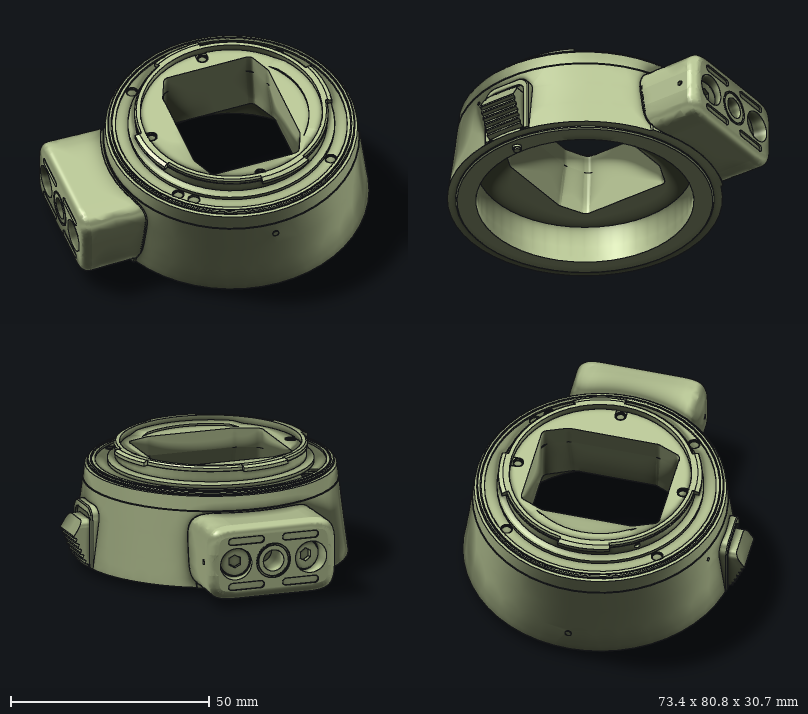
import cadquery as cq
import math

OVERLAP = 1.0

BASE_RADIUS = 32.6
BASE_HEIGHT = 0.7
BASE_CHAMFER = 0.35
CONE_BOTTOM_RADIUS = 34.75
CONE_TOP_RADIUS = 31.85
CONE_TOP_Z = 23.85
CONE_SLOPE = (CONE_BOTTOM_RADIUS - CONE_TOP_RADIUS) / (CONE_TOP_Z - BASE_HEIGHT)
SEAM_Z = 20.05
SEAM_WIDTH = 0.2
SEAM_DEPTH = 0.12

UNDERCUT_RADIUS = 30.9
UNDERCUT_HEIGHT = 0.3
RIM_RADIUS = 31.2
RIM_CHAMFER = 0.25
RIM_Z = 24.8
RIM_INNER_RADIUS = 29.25
RIM_GROOVE_INNER_RADIUS = 30.1
RIM_GROOVE_OUTER_RADIUS = 30.4
RIM_GROOVE_DEPTH = 0.3
FACE_Z = 24.25
COLLAR_RADIUS = 26.1
COLLAR_EDGE_RADIUS = 25.5
COLLAR_EDGE_Z = 25.1
NECK_RADIUS = 24.2
COLLAR_TOP_Z = 25.5

FLANGE_Z = 28.2
TOP_Z = 29.55
TOP_CHAMFER_HEIGHT = 0.45
LIP_RADIUS = 24.45
LIP_TOP_RADIUS = 24.0
LOBE_RADIUS = 25.7
LOBE_TOP_RADIUS = 24.6
LOBE_ANGLES = ((-91, -61), (-2, 29), (79, 109), (179, 209))

MOUTH_RADIUS = 23.0
FLOOR_Z = 27.8
REAR_BORE_RADIUS = 27.5
REAR_BORE_DEPTH = 10.6
WINDOW_HALF_X = 17.9
WINDOW_HALF_Y = 14.2
WINDOW_CORNER_X = 11.65
WINDOW_CORNER_Y = 11.6
WINDOW_CORNER_RADIUS = 1.7
WINDOW_SLANT_RADIUS = 2.5
WINDOW_FLARE_Z = 22.7
WINDOW_FLARE = 1.3
WINDOW_FLARE_CORNER_SHIFT = 0.9

STEP_HEIGHT = 0.5
STEP_INNER_RADIUS = 19.6
STEP_EMBEDDING = 0.2
STEP_TOP_ANGLE = 34
STEP_BASE_ANGLE = 41

FACE_SCREW_CIRCLE = 27.65
FACE_SCREW_ANGLES = (45, 135, 225, 311)
LOCK_HOLE_ANGLE = 320
FACE_SCREW_RADIUS = 1.3
LOCK_HOLE_RADIUS = 1.5
SCREW_CHAMFER = 0.2
SCREW_DEPTH = 0.6
FLOOR_SCREW_CIRCLE = 21.4
FLOOR_SCREW_ANGLES = (180, 270, 360)
FLOOR_SCREW_RADIUS = 1.1
FLOOR_NOTCH_RADIUS = 1.4
FLOOR_NOTCH_DEPTH = 0.2
NECK_HOLE_ANGLE = 126.4
NECK_HOLE_Z = 26.85
NECK_HOLE_RADIUS = 0.75
NECK_HOLE_DEPTH = 0.8

MARK_RADIUS = 0.8
MARK_HEIGHT = 0.15
MARKS = ((0, 16.9), (90, 5.8))
DOT_Y = 11.1
DOT_Z = 16.9
DOT_RADIUS = 0.4
DOT_DEPTH = 0.5

PLATE_X = -34.45
PLATE_INNER_X = -30.5
PLATE_HALF_WIDTH = 6.7
PLATE_BOTTOM_Z = 0.8
PLATE_TOP_Z = 16.65
PLATE_CORNER = 3.3
PLATE_CHAMFER = 0.3
TRACK_HALF_WIDTH = 5.25
TRACK_BOTTOM_Z = 1.5
TRACK_TOP_Z = 14.9
TRACK_CORNER = 2.0
TRACK_DEPTH = 0.6
BUTTON_HALF_WIDTH = 5.1
BUTTON_TOP_Z = 13.15
BUTTON_TOP_X = -36.25
BUTTON_CORNER = 1.85
NOSE_X = -38.62
NOSE_Z = 9.35
TOOTH_COUNT = 5
TOOTH_STEP_X = 0.6
TOOTH_STEP_Z = 1.46
TOOTH_TIP_HEIGHT = 0.4
TOOTH_NOTCH_X = 0.85
TOOTH_NOTCH_Z = 0.35
PIN_X = -29.7
PIN_RADIUS = 1.15
PIN_LENGTH = 1.19
PIN_TIP_RADIUS = 0.9
PIN_TIP_LENGTH = 0.5

FOOT_FRONT_Y = -46.03
FOOT_BACK_Y = -20.0
FOOT_HALF_WIDTH = 17.15
FOOT_BOTTOM_Z = 0.7
FOOT_TOP_Z = SEAM_Z - SEAM_WIDTH / 2
FOOT_CORNER = 6.85
FOOT_CORNER_FULLNESS = 0.79
FOOT_EDGE = 2.45
FOOT_NARROWING = 0.3
FOOT_MID_Z = 10.3
SEAT_HEIGHT = 0.6
SEAT_INSET = 0.3
SEAT_SKIRT_HALF_WIDTH = 15.3
SEAT_SKIRT_TOP_Z = 6.0
GRIP_LENGTH = 9.6
GRIP_WIDTH = 1.85
GRIP_DEPTH = 0.5
GRIP_X = 7.25
GRIP_SPACING_Z = 11.8
THREAD_RADIUS = 2.75
THREAD_DEPTH = 9.0
THREAD_RECESS_RADIUS = 4.5
THREAD_RECESS_INNER_RADIUS = 4.0
THREAD_RECESS_DEPTH = 0.5
BOLT_X = 10.05
BOLT_RADIUS = 4.1
BOLT_HEAD_RADIUS = 3.75
BOLT_DEPTH = 2.6
BOLT_GAP_DEPTH = 0.5
HEX_CORNERS = 3.4
HEX_DEPTH = 1.2
SIDE_HOLE_Y = -41.3
SIDE_HOLE_RADIUS = 0.6
SIDE_HOLE_DEPTH = 1.0


def cone_radius(z):
    return CONE_BOTTOM_RADIUS - CONE_SLOPE * (z - BASE_HEIGHT)


def cylinder(radius, bottom, top):
    return cq.Workplane("XY").workplane(offset=bottom).circle(radius).extrude(top - bottom)


def tube(inner, outer, bottom, top):
    return cylinder(outer, bottom, top).cut(cylinder(inner, bottom, top))


def polar(radius, angle):
    turn = math.radians(angle)
    return radius * math.cos(turn), radius * math.sin(turn)


def sector(inner, outer, start, end, z):
    """Closed ring-sector outline at height z, between two angles in degrees."""
    middle = (start + end) / 2
    return (
        cq.Workplane("XY").workplane(offset=z)
        .moveTo(*polar(inner, start))
        .lineTo(*polar(outer, start))
        .threePointArc(polar(outer, middle), polar(outer, end))
        .lineTo(*polar(inner, end))
        .threePointArc(polar(inner, middle), polar(inner, start))
        .close()
    )


def radial_cylinder(angle, z, radius, inner, outer):
    """Cylinder lying along a radius of the ring, between two distances from the axis."""
    along = cq.Vector(*polar(1, angle), 0)
    start = along * inner + cq.Vector(0, 0, z)
    return cq.Workplane(cq.Solid.makeCylinder(radius, outer - inner, start, along))


def turned_ring():
    profile = [
        (0, 0),
        (BASE_RADIUS - BASE_CHAMFER, 0),
        (BASE_RADIUS, BASE_CHAMFER),
        (BASE_RADIUS, BASE_HEIGHT),
        (CONE_BOTTOM_RADIUS, BASE_HEIGHT),
        (CONE_TOP_RADIUS, CONE_TOP_Z),
        (UNDERCUT_RADIUS, CONE_TOP_Z),
        (UNDERCUT_RADIUS, CONE_TOP_Z + UNDERCUT_HEIGHT),
        (RIM_RADIUS, CONE_TOP_Z + UNDERCUT_HEIGHT),
        (RIM_RADIUS, RIM_Z - RIM_CHAMFER),
        (RIM_RADIUS - RIM_CHAMFER, RIM_Z),
        (RIM_INNER_RADIUS, RIM_Z),
        (RIM_INNER_RADIUS, FACE_Z),
        (COLLAR_RADIUS, FACE_Z),
        (COLLAR_RADIUS, COLLAR_EDGE_Z),
        (COLLAR_EDGE_RADIUS, COLLAR_EDGE_Z),
        (NECK_RADIUS, COLLAR_TOP_Z),
        (NECK_RADIUS, FLANGE_Z),
        (LIP_RADIUS, FLANGE_Z),
        (LIP_RADIUS, TOP_Z - TOP_CHAMFER_HEIGHT),
        (LIP_TOP_RADIUS, TOP_Z),
        (0, TOP_Z),
    ]
    ring = cq.Workplane("XZ").polyline(profile).close().revolve(360, (0, 0), (0, 1))
    seam_radius = cone_radius(SEAM_Z)
    seam = tube(
        seam_radius - SEAM_DEPTH,
        seam_radius + OVERLAP,
        SEAM_Z - SEAM_WIDTH / 2,
        SEAM_Z + SEAM_WIDTH / 2,
    )
    ring = ring.cut(seam)
    rim_groove = tube(
        RIM_GROOVE_INNER_RADIUS, RIM_GROOVE_OUTER_RADIUS, RIM_Z - RIM_GROOVE_DEPTH, RIM_Z
    )
    return ring.cut(rim_groove)


def bayonet_lobes():
    profile = [
        (MOUTH_RADIUS, FLANGE_Z),
        (LOBE_RADIUS, FLANGE_Z),
        (LOBE_RADIUS, TOP_Z - TOP_CHAMFER_HEIGHT),
        (LOBE_TOP_RADIUS, TOP_Z),
        (MOUTH_RADIUS, TOP_Z),
    ]
    full_flange = cq.Workplane("XZ").polyline(profile).close().revolve(360, (0, 0), (0, 1))
    spans = cq.Workplane("XY")
    for start, end in LOBE_ANGLES:
        span = sector(MOUTH_RADIUS, LOBE_RADIUS + OVERLAP, start, end, FLANGE_Z)
        spans = spans.union(span.extrude(TOP_Z - FLANGE_Z))
    return full_flange.intersect(spans)


def window_outline(z, flare, corner_shift):
    """Rectangle with slanted corners; flare widens it in Y, corner_shift shortens its X sides."""
    corner_x = WINDOW_CORNER_X - corner_shift
    half_y = WINDOW_HALF_Y + flare
    corner_y = WINDOW_CORNER_Y + flare / 2
    points = [
        (WINDOW_HALF_X, -corner_y),
        (WINDOW_HALF_X, corner_y),
        (corner_x, half_y),
        (-corner_x, half_y),
        (-WINDOW_HALF_X, corner_y),
        (-WINDOW_HALF_X, -corner_y),
        (-corner_x, -half_y),
        (corner_x, -half_y),
    ]
    return cq.Workplane("XY").workplane(offset=z).polyline(points).close().wires().val()


def round_window_edges(prism):
    """Round the uprights at the X sides, then those where the slants meet the Y sides."""
    reach = 2 * WINDOW_FLARE_CORNER_SHIFT
    for center_x, radius in (
        (WINDOW_HALF_X, WINDOW_CORNER_RADIUS),
        (WINDOW_CORNER_X, WINDOW_SLANT_RADIUS),
    ):
        for side in (-1, 1):
            upright_edges = cq.selectors.BoxSelector(
                (side * center_x - reach, -REAR_BORE_RADIUS, 0),
                (side * center_x + reach, REAR_BORE_RADIUS, TOP_Z),
            )
            prism = prism.edges(upright_edges).edges("not #Z").fillet(radius)
    return prism


def openings():
    mouth = cylinder(MOUTH_RADIUS, FLOOR_Z, TOP_Z)
    rear = cylinder(REAR_BORE_RADIUS, 0, REAR_BORE_DEPTH)
    flare_start = window_outline(WINDOW_FLARE_Z, 0, 0)
    straight = cq.Workplane("XY").add(flare_start).toPending().extrude(FLOOR_Z - WINDOW_FLARE_Z)
    flare_end = window_outline(REAR_BORE_DEPTH, WINDOW_FLARE, WINDOW_FLARE_CORNER_SHIFT)
    flared = cq.Workplane(cq.Solid.makeLoft([flare_end, flare_start], True))
    window = round_window_edges(straight).union(round_window_edges(flared))
    return mouth.union(rear).union(window)


def floor_step():
    outer = MOUTH_RADIUS + STEP_EMBEDDING
    base = sector(STEP_INNER_RADIUS, outer, 90 - STEP_BASE_ANGLE, 90 + STEP_BASE_ANGLE, FLOOR_Z)
    top_z = FLOOR_Z + STEP_HEIGHT
    top = sector(STEP_INNER_RADIUS, outer, 90 - STEP_TOP_ANGLE, 90 + STEP_TOP_ANGLE, top_z)
    return cq.Workplane(cq.Solid.makeLoft([base.wires().val(), top.wires().val()], True))


def chamfered_hole(radius, top_z):
    hole = cylinder(radius, top_z - SCREW_DEPTH, top_z)
    mouth = cq.Solid.makeCone(
        radius, radius + SCREW_CHAMFER, SCREW_CHAMFER, cq.Vector(0, 0, top_z - SCREW_CHAMFER)
    )
    return hole.union(cq.Workplane(mouth))


def floor_notch(angle):
    """Shallow round-ended slot from a floor screw outward to the wall of the mouth."""
    reach = MOUTH_RADIUS - FLOOR_SCREW_CIRCLE
    bottom = FLOOR_Z - FLOOR_NOTCH_DEPTH
    round_end = cylinder(FLOOR_NOTCH_RADIUS, bottom, FLOOR_Z).translate((FLOOR_SCREW_CIRCLE, 0, 0))
    straight = cq.Workplane("XY").box(
        reach, 2 * FLOOR_NOTCH_RADIUS, FLOOR_NOTCH_DEPTH, centered=(False, True, False)
    ).translate((FLOOR_SCREW_CIRCLE, 0, bottom))
    notch = round_end.union(straight).rotate((0, 0, 0), (0, 0, 1), angle)
    return notch.intersect(cylinder(MOUTH_RADIUS, bottom, FLOOR_Z))


def small_holes():
    holes = radial_cylinder(
        NECK_HOLE_ANGLE, NECK_HOLE_Z, NECK_HOLE_RADIUS, NECK_RADIUS - NECK_HOLE_DEPTH, NECK_RADIUS + OVERLAP
    )
    for angle in FACE_SCREW_ANGLES:
        x, y = polar(FACE_SCREW_CIRCLE, angle)
        holes = holes.union(chamfered_hole(FACE_SCREW_RADIUS, FACE_Z).translate((x, y, 0)))
    x, y = polar(FACE_SCREW_CIRCLE, LOCK_HOLE_ANGLE)
    holes = holes.union(cylinder(LOCK_HOLE_RADIUS, FACE_Z - SCREW_DEPTH, FACE_Z).translate((x, y, 0)))
    for angle in FLOOR_SCREW_ANGLES:
        x, y = polar(FLOOR_SCREW_CIRCLE, angle)
        notch_z = FLOOR_Z - FLOOR_NOTCH_DEPTH
        holes = holes.union(chamfered_hole(FLOOR_SCREW_RADIUS, notch_z).translate((x, y, 0)))
        holes = holes.union(floor_notch(angle))
    dot_radius = cone_radius(DOT_Z)
    dot_angle = 180 - math.degrees(math.asin(DOT_Y / dot_radius))
    dot = radial_cylinder(dot_angle, DOT_Z, DOT_RADIUS, dot_radius - DOT_DEPTH, dot_radius + OVERLAP)
    return holes.union(dot)


def index_marks():
    marks = cq.Workplane("XY")
    for angle, z in MARKS:
        surface = cone_radius(z)
        mark = radial_cylinder(angle, z, MARK_RADIUS, surface - OVERLAP, surface + MARK_HEIGHT)
        marks = marks.union(mark)
    return marks


def x_block(half_width, bottom, top, outer_x, inner_x, corner):
    """Block across Y, from outer_x to inner_x, with its two upper corners rounded."""
    block = cq.Workplane("XY").box(
        inner_x - outer_x, 2 * half_width, top - bottom, centered=(False, True, False)
    )
    return block.edges("|X and >Z").fillet(corner).translate((outer_x, 0, bottom))


def slider_button():
    outline = cq.Workplane("XZ", origin=(0, BUTTON_HALF_WIDTH, 0)).moveTo(PLATE_INNER_X, BUTTON_TOP_Z)
    outline = outline.lineTo(BUTTON_TOP_X, BUTTON_TOP_Z).lineTo(NOSE_X, NOSE_Z)
    for tooth in range(TOOTH_COUNT):
        tip_x = NOSE_X + tooth * TOOTH_STEP_X
        tip_z = NOSE_Z - tooth * TOOTH_STEP_Z
        outline = outline.lineTo(tip_x, tip_z - TOOTH_TIP_HEIGHT)
        outline = outline.lineTo(tip_x + TOOTH_NOTCH_X, tip_z - TOOTH_TIP_HEIGHT - TOOTH_NOTCH_Z)
        outline = outline.lineTo(tip_x + TOOTH_STEP_X, tip_z - TOOTH_STEP_Z)
    outline = outline.lineTo(PLATE_X, TRACK_BOTTOM_Z).lineTo(PLATE_INNER_X, TRACK_BOTTOM_Z).close()
    button = outline.extrude(2 * BUTTON_HALF_WIDTH)
    envelope = x_block(
        BUTTON_HALF_WIDTH, TRACK_BOTTOM_Z, BUTTON_TOP_Z, NOSE_X, PLATE_INNER_X, BUTTON_CORNER
    )
    return button.intersect(envelope)


def slider_plate_and_track():
    """Plate around the slider, and the recess in it that the button runs in."""
    plate = x_block(
        PLATE_HALF_WIDTH, PLATE_BOTTOM_Z, PLATE_TOP_Z, PLATE_X, PLATE_INNER_X, PLATE_CORNER
    )
    plate = plate.faces("<X").chamfer(PLATE_CHAMFER)
    track = x_block(
        TRACK_HALF_WIDTH, TRACK_BOTTOM_Z, TRACK_TOP_Z, PLATE_X, PLATE_X + TRACK_DEPTH, TRACK_CORNER
    )
    return plate, track


def locking_pin():
    shank = cylinder(PIN_RADIUS, -PIN_LENGTH + PIN_TIP_LENGTH, OVERLAP)
    tip = cylinder(PIN_TIP_RADIUS, -PIN_LENGTH, 0)
    return shank.union(tip).translate((PIN_X, 0, 0))


def foot_outline(y, inset):
    """Rectangle whose corners are fuller than round ones, in the plane at y."""
    half_x = FOOT_HALF_WIDTH - inset
    half_z = (FOOT_TOP_Z - FOOT_BOTTOM_Z) / 2 - inset
    flat_x = half_x - FOOT_CORNER
    flat_z = half_z - FOOT_CORNER
    bulge = FOOT_CORNER * FOOT_CORNER_FULLNESS
    center_z = (FOOT_TOP_Z + FOOT_BOTTOM_Z) / 2
    outline = cq.Workplane("XZ", origin=(0, y, center_z)).moveTo(half_x, -flat_z)
    up, down, right, left = (0, 1), (0, -1), (1, 0), (-1, 0)
    corners = (
        (1, 1, up, left),
        (-1, 1, left, down),
        (-1, -1, down, right),
        (1, -1, right, up),
    )
    for side_x, side_z, entering, leaving in corners:
        on_side = (side_x * half_x, side_z * flat_z)
        on_top = (side_x * flat_x, side_z * half_z)
        start, end = (on_side, on_top) if entering in (up, down) else (on_top, on_side)
        middle = (side_x * (flat_x + bulge), side_z * (flat_z + bulge))
        outline = outline.lineTo(*start)
        outline = outline.spline([middle, end], tangents=[entering, leaving], includeCurrent=True)
    return outline.close().wires().val()


def foot_prism(inset):
    """Rounded prism, slightly narrower toward the ring."""
    front = foot_outline(FOOT_FRONT_Y, inset)
    back = foot_outline(FOOT_BACK_Y, inset + FOOT_NARROWING)
    return cq.Workplane(cq.Solid.makeLoft([front, back], True))


def foot_block():
    """The whole foot before its back is shaped to the ring."""
    return foot_prism(0).faces("<Y").edges().fillet(FOOT_EDGE)


def seat_cone():
    """Cone that the back of the foot rests on, just outside the cone of the ring."""
    return cq.Workplane(
        cq.Solid.makeCone(
            CONE_BOTTOM_RADIUS + SEAT_HEIGHT,
            CONE_TOP_RADIUS + SEAT_HEIGHT,
            CONE_TOP_Z - BASE_HEIGHT,
            cq.Vector(0, 0, BASE_HEIGHT),
        )
    )


def foot_seat():
    skirt = cq.Workplane("XY").box(
        2 * SEAT_SKIRT_HALF_WIDTH,
        FOOT_BACK_Y - FOOT_FRONT_Y,
        SEAT_SKIRT_TOP_Z - FOOT_BOTTOM_Z,
        centered=(True, False, False),
    ).translate((0, FOOT_FRONT_Y, FOOT_BOTTOM_Z))
    return foot_prism(SEAT_INSET).union(skirt).intersect(seat_cone())


def make_adapter():
    plate, track = slider_plate_and_track()
    adapter = turned_ring().union(bayonet_lobes()).union(foot_seat()).union(plate)
    adapter = adapter.cut(track).union(slider_button()).union(locking_pin()).union(index_marks())
    adapter = adapter.cut(openings()).union(floor_step())
    return adapter.cut(small_holes())


def bolt_recess(side):
    """Round recess aimed at the ring axis, around a flat bolt head with a hexagon socket."""
    toward_axis = cq.Vector(-side * BOLT_X, -FOOT_FRONT_Y, 0).normalized()
    plane = cq.Plane(
        origin=(side * BOLT_X, FOOT_FRONT_Y, FOOT_MID_Z), xDir=(0, 0, 1), normal=toward_axis.toTuple()
    )
    opening = cq.Workplane(plane).workplane(offset=-OVERLAP)
    recess = opening.circle(BOLT_RADIUS).extrude(OVERLAP + BOLT_DEPTH)
    head = cq.Workplane(plane).workplane(offset=BOLT_DEPTH)
    gap = head.circle(BOLT_RADIUS).circle(BOLT_HEAD_RADIUS).extrude(BOLT_GAP_DEPTH)
    socket = head.polygon(6, HEX_CORNERS).extrude(HEX_DEPTH)
    return recess.union(gap).union(socket)


def make_foot():
    foot = foot_block().cut(seat_cone())
    front = cq.Workplane("XZ", origin=(0, FOOT_FRONT_Y, FOOT_MID_Z))
    grip_centers = [
        (x, z) for x in (-GRIP_X, GRIP_X) for z in (-GRIP_SPACING_Z / 2, GRIP_SPACING_Z / 2)
    ]
    foot = foot.cut(front.pushPoints(grip_centers).slot2D(GRIP_LENGTH, GRIP_WIDTH).extrude(-GRIP_DEPTH))
    ring_gap = front.circle(THREAD_RECESS_RADIUS).circle(THREAD_RECESS_INNER_RADIUS)
    foot = foot.cut(ring_gap.extrude(-THREAD_RECESS_DEPTH))
    foot = foot.cut(front.circle(THREAD_RADIUS).extrude(-THREAD_DEPTH))
    for side in (-1, 1):
        foot = foot.cut(bolt_recess(side))
    side_hole = (
        cq.Workplane("YZ", origin=(-FOOT_HALF_WIDTH, SIDE_HOLE_Y, FOOT_MID_Z))
        .circle(SIDE_HOLE_RADIUS)
        .extrude(SIDE_HOLE_DEPTH)
    )
    return foot.cut(side_hole)


adapter = make_adapter()
foot = make_foot()
result = cq.Compound.makeCompound([adapter.solids().val(), foot.solids().val()])